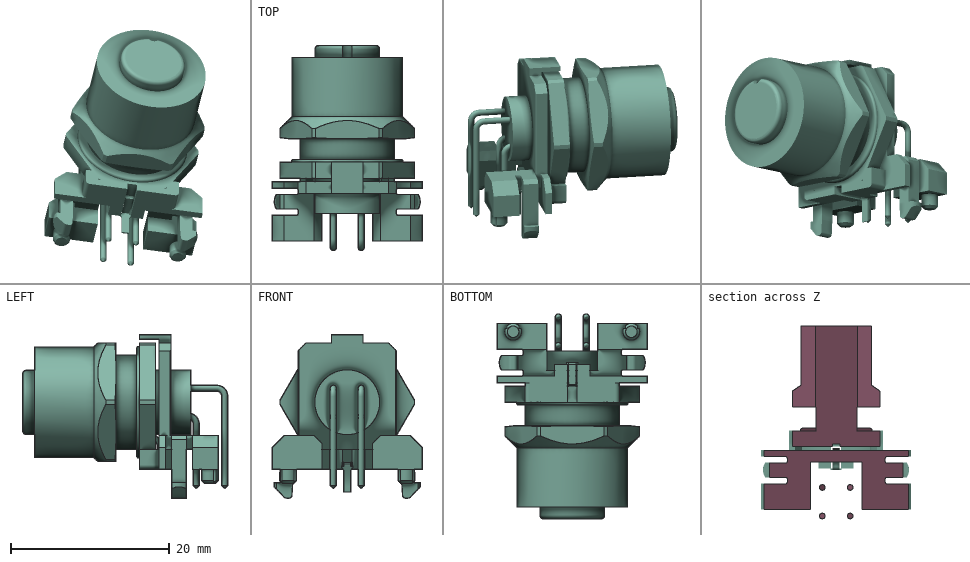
import cadquery as cq
import math


TOTAL_WIDTH = 19.0
TOTAL_LENGTH = 25.95
TOTAL_HEIGHT = 20.7

SLEEVE_FRONT_Y = -1.5
CONE_START_Y = -9.0
FLANGE_REAR_Y = -11.85
GASKET_FRONT_Y = -14.4
NUT_FRONT_Y = -14.77
NUT_REAR_Y = -16.82
INSERT_REAR_Y = -21.3

INSERT_RADIUS = 4.1
INSERT_FILLET = 0.5
KEYWAY_RADIUS = 0.62
THREAD_RADIUS = 6.0
SLEEVE_RADIUS = 7.0
HEX_FLATS = 15.0
HEX_CORNER_RADIUS = 8.51
FLANGE_FACE_RADIUS = 7.22
FLANGE_REAR_BEVEL = 0.15
GASKET_RADIUS = 7.05
GASKET_FILLET = 0.29

PLATE_FRONT_Y = -17.25
PLATE_REAR_Y = -18.77
PLATE_HALF_WIDTH = 6.23
PLATE_CORNER_CHAMFER = 1.0
PLATE_EDGE_CHAMFER = 0.1
TAB_WIDTH = 4.0
TAB_THICKNESS = 0.6
TAB_TOP_Z = 8.55

FOOT_OUTER_X = TOTAL_WIDTH / 2
FOOT_INNER_X = 3.22
FOOT_TOP_Z = -4.2
FOOT_BOTTOM_Z = -8.5
FOOT_OUTER_CHAMFER = 1.5
FOOT_INNER_CHAMFER = 0.99
FOOT_FRONT_Y = -21.47
FOOT_REAR_Y = -24.77
DECK_BOTTOM_Z = -5.97
EAR_REAR_Y = -18.1
SLOT_FILLET = 0.15
CRADLE_HALF_WIDTH = 5.97
CRADLE_FILLET = 0.52
CHANNEL_HALF_WIDTH = 2.23
CHANNEL_REAR_Y = -19.57
CHANNEL_SLOT_HALF_WIDTH = 0.62
WEB_BOTTOM_Z = -7.6

LEG_FRONT_Y = -18.85
LEG_REAR_Y = -20.72
LEG_INNER_X = 6.88
LEG_OUTER_X = 8.5
LEG_TOP_CHAMFER = 0.5
LEG_BOTTOM_Z = TAB_TOP_Z - TOTAL_HEIGHT
LEG_BOTTOM_INNER_X = 7.0
LEG_BOTTOM_OUTER_X = 7.87
LEG_INNER_FILLET = 0.4
LEG_OUTER_FILLET = 0.52
CATCH_TOP_Z = -10.18
CATCH_LOW_Z = -10.7
CATCH_TIP_X = 9.25
CATCH_EDGE_X = 8.95

PEG_X = 7.48
PEG_RADIUS = 1.06
PEG_Y = FOOT_REAR_Y + PEG_RADIUS
PEG_BOTTOM_Z = -10.25
PEG_CHAMFER = 0.35
PEG_NOTCH_X = 0.75
PEG_NOTCH_Y = 0.45

CONTACT_THICKNESS = 0.2
CONTACT_HALF_WIDTH = 0.47
CONTACT_BEND_RADIUS = 0.42
CONTACT_TIP_Y = -16.5
CONTACT_FRONT_KNEE_Z = -5.4
CONTACT_REAR_KNEE_Z = -4.62
CONTACT_BOTTOM_Z = -11.37
CONTACT_CLEARANCE = 0.03
BARB_HALF_WIDTH = 0.73
BARB_TOP_Z = -8.1
BARB_SHOULDER_Z = -8.25
BARB_BOTTOM_Z = -8.62

PIN_RADIUS = 0.4
PIN_PITCH = 3.53
PIN_BEND_RADIUS = 1.0
PIN_INNER_Y = PLATE_FRONT_Y
PIN_TIP_Z = -10.93
UPPER_PIN_DROP_Y = -TOTAL_LENGTH + PIN_RADIUS
LOWER_PIN_DROP_Y = -21.95


def box(x0, x1, y0, y1, z0, z1):
    """Axis-aligned box between opposite corners given in any order."""
    corner = (min(x0, x1), min(y0, y1), min(z0, z1))
    size = (abs(x1 - x0), abs(y1 - y0), abs(z1 - z0))
    return cq.Workplane("XY").box(*size, centered=False).translate(corner)


def plane_facing_rear(y):
    """Sketch plane square to the socket axis; extruding runs toward -Y."""
    return cq.Workplane("XZ", origin=(0, y, 0))


def rod(radius, y_front, y_rear):
    """Round rod on the socket axis."""
    return plane_facing_rear(y_front).circle(radius).extrude(y_front - y_rear)


def hex_prism(y_front, y_rear):
    """Hexagon with a flat on top."""
    across_corners = HEX_FLATS / math.cos(math.radians(30))
    return plane_facing_rear(y_front).polygon(6, across_corners).extrude(y_front - y_rear)


def rounded_hex(y_front, y_rear):
    """Hexagon with its corners turned down."""
    return hex_prism(y_front, y_rear).intersect(rod(HEX_CORNER_RADIUS, y_front, y_rear))


def mirrored_pair(body):
    """The body together with its mirror image across the YZ plane."""
    return body.union(body.mirror("YZ"))


def make_coupling_nut():
    cone_end_y = CONE_START_Y - (HEX_CORNER_RADIUS - SLEEVE_RADIUS)
    turned_profile = [
        (0, CONE_START_Y),
        (SLEEVE_RADIUS, CONE_START_Y),
        (HEX_CORNER_RADIUS, cone_end_y),
        (HEX_CORNER_RADIUS, FLANGE_REAR_Y + FLANGE_REAR_BEVEL),
        (FLANGE_FACE_RADIUS, FLANGE_REAR_Y),
        (0, FLANGE_REAR_Y),
    ]
    turned = cq.Workplane("XY").polyline(turned_profile).close().revolve(360, (0, 0), (0, 1))
    flange = hex_prism(CONE_START_Y, FLANGE_REAR_Y).intersect(turned)
    sleeve = rod(SLEEVE_RADIUS, SLEEVE_FRONT_Y, CONE_START_Y)
    bore = rod(THREAD_RADIUS, SLEEVE_FRONT_Y, FLANGE_REAR_Y)
    return sleeve.union(flange).cut(bore)


def make_housing():
    tube = rod(THREAD_RADIUS, SLEEVE_FRONT_Y, NUT_FRONT_Y)
    collar = rounded_hex(NUT_FRONT_Y, NUT_REAR_Y)
    bore = rod(INSERT_RADIUS, SLEEVE_FRONT_Y, NUT_REAR_Y)
    contact_pocket = box(
        -CONTACT_HALF_WIDTH, CONTACT_HALF_WIDTH, CONTACT_TIP_Y, NUT_REAR_Y, 0, CONTACT_FRONT_KNEE_Z
    )
    return tube.union(collar).cut(bore).cut(contact_pocket)


def make_gasket():
    disc = rod(GASKET_RADIUS, GASKET_FRONT_Y, NUT_FRONT_Y).faces(">Y").edges().fillet(GASKET_FILLET)
    return disc.cut(rod(THREAD_RADIUS, GASKET_FRONT_Y, NUT_FRONT_Y))


def make_pin(x, z, drop_y):
    bend_start_y = drop_y + PIN_BEND_RADIUS
    bend_middle = (
        drop_y + PIN_BEND_RADIUS * (1 - math.sin(math.radians(45))),
        z - PIN_BEND_RADIUS * (1 - math.cos(math.radians(45))),
    )
    shank_end_z = PIN_TIP_Z + PIN_RADIUS
    path = (
        cq.Workplane("YZ", origin=(x, 0, 0))
        .moveTo(PIN_INNER_Y, z)
        .lineTo(bend_start_y, z)
        .threePointArc(bend_middle, (drop_y, z - PIN_BEND_RADIUS))
        .lineTo(drop_y, shank_end_z)
    )
    wire = cq.Workplane("XZ", origin=(x, PIN_INNER_Y, z)).circle(PIN_RADIUS).sweep(path)
    point = cq.Solid.makeCone(
        PIN_RADIUS, 0, PIN_RADIUS, pnt=cq.Vector(x, drop_y, shank_end_z), dir=cq.Vector(0, 0, -1)
    )
    return wire.union(cq.Workplane(point))


def make_pins():
    pins = []
    for z, drop_y in ((PIN_PITCH / 2, UPPER_PIN_DROP_Y), (-PIN_PITCH / 2, LOWER_PIN_DROP_Y)):
        for x in (-PIN_PITCH / 2, PIN_PITCH / 2):
            pins.append(make_pin(x, z, drop_y))
    return pins


def make_insert(pins):
    body = rod(INSERT_RADIUS, 0, INSERT_REAR_Y).faces(">Y").edges().fillet(INSERT_FILLET)
    keyway = rod(KEYWAY_RADIUS, 0, SLEEVE_FRONT_Y).translate((0, 0, INSERT_RADIUS))
    body = body.cut(keyway)
    for pin in pins:
        body = body.cut(pin)
    return body


def make_plate():
    """Upright plate with a tab folded forward over the housing collar."""
    plate_top_z = HEX_FLATS / 2
    plate = (
        box(-PLATE_HALF_WIDTH, PLATE_HALF_WIDTH, PLATE_FRONT_Y, PLATE_REAR_Y, DECK_BOTTOM_Z, plate_top_z)
        .edges("|Z and <Y")
        .chamfer(PLATE_EDGE_CHAMFER)
    )
    for side in (-1, 1):
        corner_x = side * PLATE_HALF_WIDTH
        corner = (
            plane_facing_rear(PLATE_FRONT_Y)
            .moveTo(corner_x, plate_top_z)
            .lineTo(corner_x - side * PLATE_CORNER_CHAMFER, plate_top_z)
            .lineTo(corner_x, plate_top_z - PLATE_CORNER_CHAMFER)
            .close()
            .extrude(PLATE_FRONT_Y - PLATE_REAR_Y)
        )
        plate = plate.cut(corner)
    half_tab = TAB_WIDTH / 2
    stem = box(-half_tab, half_tab, PLATE_FRONT_Y, PLATE_REAR_Y, 0, TAB_TOP_Z)
    tab = box(-half_tab, half_tab, NUT_FRONT_Y, PLATE_REAR_Y, TAB_TOP_Z - TAB_THICKNESS, TAB_TOP_Z)
    return plate.union(stem).union(tab)


def make_foot():
    """Right-hand foot, its deck, and the slots that free the snap leg and the ear."""
    foot = (
        plane_facing_rear(PLATE_FRONT_Y)
        .moveTo(FOOT_INNER_X, FOOT_BOTTOM_Z)
        .lineTo(FOOT_OUTER_X, FOOT_BOTTOM_Z)
        .lineTo(FOOT_OUTER_X, FOOT_TOP_Z - FOOT_OUTER_CHAMFER)
        .lineTo(FOOT_OUTER_X - FOOT_OUTER_CHAMFER, FOOT_TOP_Z)
        .lineTo(FOOT_INNER_X + FOOT_INNER_CHAMFER, FOOT_TOP_Z)
        .lineTo(FOOT_INNER_X, FOOT_TOP_Z - FOOT_INNER_CHAMFER)
        .close()
        .extrude(PLATE_FRONT_Y - FOOT_REAR_Y)
    )
    under_deck = box(0, FOOT_OUTER_X, EAR_REAR_Y, FOOT_FRONT_Y, FOOT_BOTTOM_Z, DECK_BOTTOM_Z)
    leg_gap = box(LEG_INNER_X, FOOT_OUTER_X, LEG_FRONT_Y, LEG_REAR_Y, FOOT_BOTTOM_Z, 0)
    foot = foot.cut(under_deck).cut(leg_gap)
    for front_y, rear_y in ((EAR_REAR_Y, LEG_FRONT_Y), (LEG_REAR_Y, FOOT_FRONT_Y)):
        slot = box(PLATE_HALF_WIDTH, FOOT_OUTER_X, front_y, rear_y, FOOT_BOTTOM_Z, 0)
        foot = foot.cut(slot.edges("|Z and <X").fillet(SLOT_FILLET))
    return foot


def make_snap_leg():
    """Right-hand snap leg with a catch whose nose bulges outward."""
    depth = LEG_FRONT_Y - LEG_REAR_Y
    leg = (
        plane_facing_rear(LEG_FRONT_Y)
        .moveTo(LEG_INNER_X, FOOT_TOP_Z)
        .lineTo(LEG_OUTER_X - LEG_TOP_CHAMFER, FOOT_TOP_Z)
        .lineTo(LEG_OUTER_X, FOOT_TOP_Z - LEG_TOP_CHAMFER)
        .lineTo(LEG_OUTER_X, CATCH_TOP_Z)
        .lineTo(CATCH_TIP_X, CATCH_TOP_Z)
        .lineTo(CATCH_TIP_X, CATCH_LOW_Z)
        .lineTo(LEG_BOTTOM_OUTER_X, LEG_BOTTOM_Z)
        .lineTo(LEG_BOTTOM_INNER_X, LEG_BOTTOM_Z)
        .lineTo(LEG_INNER_X, CATCH_TOP_Z)
        .close()
        .extrude(depth)
    )
    for corner_x, radius in (
        (LEG_BOTTOM_OUTER_X, LEG_OUTER_FILLET),
        (LEG_BOTTOM_INNER_X, LEG_INNER_FILLET),
    ):
        corner = cq.NearestToPointSelector((corner_x, LEG_FRONT_Y - depth / 2, LEG_BOTTOM_Z))
        leg = leg.edges("|Y").edges(corner).fillet(radius)
    nose_outline = (
        cq.Workplane("XY", origin=(0, 0, LEG_BOTTOM_Z))
        .moveTo(0, LEG_FRONT_Y)
        .lineTo(CATCH_EDGE_X, LEG_FRONT_Y)
        .threePointArc((CATCH_TIP_X, LEG_FRONT_Y - depth / 2), (CATCH_EDGE_X, LEG_REAR_Y))
        .lineTo(0, LEG_REAR_Y)
        .close()
        .extrude(FOOT_TOP_Z - LEG_BOTTOM_Z)
    )
    arm = box(PLATE_HALF_WIDTH, LEG_INNER_X, LEG_FRONT_Y, LEG_REAR_Y, DECK_BOTTOM_Z, FOOT_TOP_Z)
    return leg.intersect(nose_outline).union(arm)


def make_peg():
    """Right-hand locating peg with its two rear corners notched."""
    length = FOOT_BOTTOM_Z - PEG_BOTTOM_Z
    peg = (
        cq.Workplane("XY", origin=(PEG_X, PEG_Y, PEG_BOTTOM_Z))
        .circle(PEG_RADIUS)
        .extrude(length)
        .faces("<Z")
        .edges()
        .chamfer(PEG_CHAMFER)
    )
    for side in (-1, 1):
        notch = box(
            PEG_X + side * PEG_NOTCH_X,
            PEG_X + side * PEG_RADIUS,
            PEG_Y - PEG_NOTCH_Y,
            PEG_Y - PEG_RADIUS,
            PEG_BOTTOM_Z,
            FOOT_BOTTOM_Z,
        )
        peg = peg.cut(notch)
    return peg


def make_cradle():
    """Block under the housing collar, cut to the collar's hexagon."""
    block = box(
        -CRADLE_HALF_WIDTH, CRADLE_HALF_WIDTH, NUT_FRONT_Y, PLATE_FRONT_Y, FOOT_BOTTOM_Z, DECK_BOTTOM_Z
    )
    block = block.edges("|Y and <Z").fillet(CRADLE_FILLET)
    return block.cut(hex_prism(NUT_FRONT_Y, PLATE_FRONT_Y))


def make_bracket():
    strip = box(-FOOT_INNER_X, FOOT_INNER_X, PLATE_FRONT_Y, EAR_REAR_Y, FOOT_BOTTOM_Z, DECK_BOTTOM_Z)
    channel = box(
        -CHANNEL_HALF_WIDTH, CHANNEL_HALF_WIDTH, EAR_REAR_Y, CHANNEL_REAR_Y, FOOT_BOTTOM_Z, DECK_BOTTOM_Z
    )
    slot = CHANNEL_SLOT_HALF_WIDTH
    channel_slot = box(-slot, slot, EAR_REAR_Y, CHANNEL_REAR_Y, FOOT_BOTTOM_Z, DECK_BOTTOM_Z)
    cradle_slot = box(-slot, slot, NUT_FRONT_Y, PLATE_FRONT_Y, FOOT_BOTTOM_Z, DECK_BOTTOM_Z)
    strip_slot = box(-slot, slot, PLATE_FRONT_Y, EAR_REAR_Y, FOOT_BOTTOM_Z, WEB_BOTTOM_Z)
    side_parts = make_foot().union(make_snap_leg()).union(make_peg())
    bracket = (
        make_plate()
        .union(mirrored_pair(side_parts))
        .union(strip.cut(strip_slot))
        .union(make_cradle().cut(cradle_slot))
        .union(channel.cut(channel_slot))
    )
    insert_hole = rod(INSERT_RADIUS, PLATE_FRONT_Y, FOOT_REAR_Y)
    return bracket.cut(insert_hole)


def make_shield_contact():
    rear_y = PLATE_FRONT_Y + CONTACT_CLEARANCE
    front_y = rear_y + CONTACT_THICKNESS
    run_top_z = WEB_BOTTOM_Z - CONTACT_CLEARANCE
    run_bottom_z = run_top_z - CONTACT_THICKNESS
    leg_front_y = CHANNEL_REAR_Y
    leg_rear_y = leg_front_y - CONTACT_THICKNESS
    strip = (
        cq.Workplane("YZ", origin=(-CONTACT_HALF_WIDTH, 0, 0))
        .moveTo(CONTACT_TIP_Y, -INSERT_RADIUS)
        .lineTo(NUT_REAR_Y, -INSERT_RADIUS)
        .lineTo(rear_y, CONTACT_REAR_KNEE_Z)
        .lineTo(rear_y, run_top_z)
        .lineTo(leg_rear_y + CONTACT_BEND_RADIUS, run_top_z)
        .radiusArc((leg_rear_y, run_top_z - CONTACT_BEND_RADIUS), -CONTACT_BEND_RADIUS)
        .lineTo(leg_rear_y, CONTACT_BOTTOM_Z)
        .lineTo(leg_front_y, CONTACT_BOTTOM_Z)
        .lineTo(leg_front_y, run_bottom_z)
        .lineTo(front_y, run_bottom_z)
        .lineTo(front_y, CONTACT_FRONT_KNEE_Z)
        .close()
        .extrude(2 * CONTACT_HALF_WIDTH)
    )
    barbs = (
        plane_facing_rear(leg_front_y)
        .moveTo(-BARB_HALF_WIDTH, BARB_TOP_Z)
        .lineTo(BARB_HALF_WIDTH, BARB_TOP_Z)
        .lineTo(BARB_HALF_WIDTH, BARB_SHOULDER_Z)
        .lineTo(CONTACT_HALF_WIDTH, BARB_BOTTOM_Z)
        .lineTo(-CONTACT_HALF_WIDTH, BARB_BOTTOM_Z)
        .lineTo(-BARB_HALF_WIDTH, BARB_SHOULDER_Z)
        .close()
        .extrude(CONTACT_THICKNESS)
    )
    return strip.union(barbs)


coupling_nut = make_coupling_nut()
housing = make_housing()
gasket = make_gasket()
pins = make_pins()
insert = make_insert(pins)
bracket = make_bracket()
shield_contact = make_shield_contact()

bodies = [coupling_nut, housing, gasket, insert, bracket, shield_contact, *pins]
result = cq.Compound.makeCompound([body.solids().val() for body in bodies])